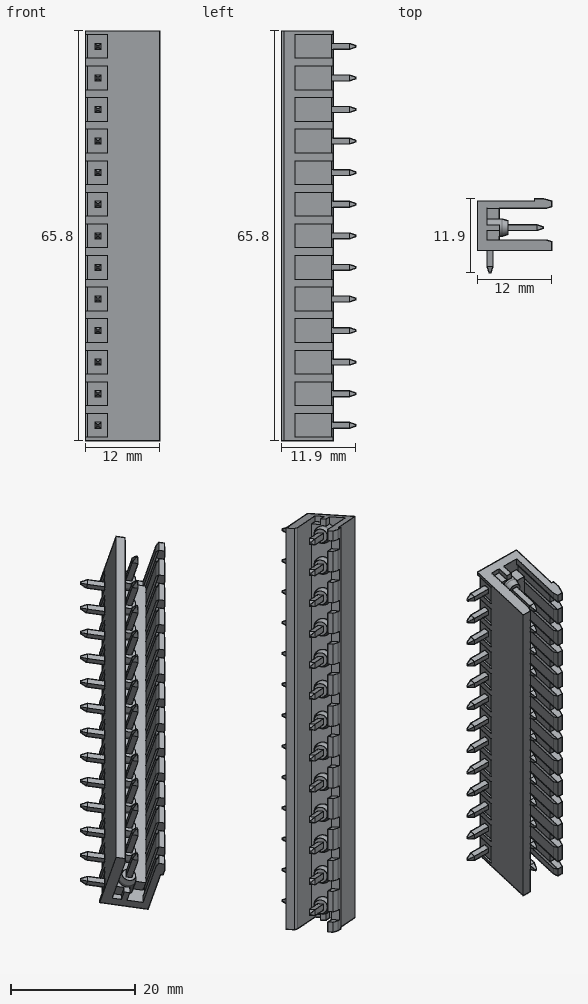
import cadquery as cq
import math

LENGTH = 65.85
DEPTH_X = 12.0
BACK_Y = 7.95
WALL_X = 1.6
FRONT_ARM = 1.7
REAR_ARM_INNER_Y = 6.8

LIP_Y = 8.35
LIP_START_X = 9.15
LIP_FLAT_END_X = 10.55
TIP_BACK_Y = 7.95
TIP_CHAMFER_X = 0.85
TIP_CHAMFER_Y = 0.25

PIN_COUNT = 13
PITCH = 5.1
FIRST_PIN_Z = (LENGTH - (PIN_COUNT - 1) * PITCH) / 2
PIN_Z = [FIRST_PIN_Z + i * PITCH for i in range(PIN_COUNT)]

PIN_SIZE = 1.0
PIN_TIP_SIZE = 0.25
PIN_TAPER = 1.05
PIN_Y = 3.7
TAIL_X = 2.05
TAIL_END_Y = -3.6
CONTACT_END_X = 10.6

COLLAR_DIAMETER = 2.8
COLLAR_END_DIAMETER = 2.25
COLLAR_STEP_X = 3.95
COLLAR_END_X = 4.95

STEP_X = 3.55
RIB_Y_MIN = 3.2
RIB_Y_MAX = 4.15
FRONT_RECESS_DEPTH = 0.9
REAR_RECESS_DEPTH = FIRST_PIN_Z

POCKET_HEIGHT = 3.8
POCKET_X = 3.55
POCKET_Y = 6.1
POCKET_DEPTH_X = 0.3
POCKET_DEPTH_Y = 0.3

GROOVE_MOUTH_HEIGHT = 2.4
GROOVE_FLOOR_HEIGHT = 1.7
GROOVE_DEPTH = 0.25
NOTCH_START_X = 9.95


def box(x0, x1, y0, y1, z0, z1):
    """Axis-aligned block between two opposite corners."""
    return cq.Workplane("XY").box(x1 - x0, y1 - y0, z1 - z0, centered=False).translate((x0, y0, z0))


def make_housing():
    """Channel profile with the stepped back wall inside it."""
    channel = (
        cq.Workplane("XY")
        .moveTo(0, 0)
        .lineTo(DEPTH_X, 0)
        .lineTo(DEPTH_X, FRONT_ARM - TIP_CHAMFER_Y)
        .lineTo(DEPTH_X - TIP_CHAMFER_X, FRONT_ARM)
        .lineTo(WALL_X, FRONT_ARM)
        .lineTo(WALL_X, REAR_ARM_INNER_Y)
        .lineTo(DEPTH_X - TIP_CHAMFER_X, REAR_ARM_INNER_Y)
        .lineTo(DEPTH_X, REAR_ARM_INNER_Y + TIP_CHAMFER_Y)
        .lineTo(DEPTH_X, TIP_BACK_Y)
        .lineTo(LIP_FLAT_END_X, LIP_Y)
        .lineTo(LIP_START_X, LIP_Y)
        .lineTo(LIP_START_X, BACK_Y)
        .lineTo(0, BACK_Y)
        .close()
        .extrude(LENGTH)
    )
    front_step = box(WALL_X, STEP_X, FRONT_ARM, RIB_Y_MIN, FRONT_RECESS_DEPTH, LENGTH - FRONT_RECESS_DEPTH)
    rib = box(WALL_X, STEP_X, RIB_Y_MIN, RIB_Y_MAX, 0, LENGTH)
    rear_step = box(WALL_X, STEP_X, RIB_Y_MAX, REAR_ARM_INNER_Y, REAR_RECESS_DEPTH, LENGTH - REAR_RECESS_DEPTH)
    return channel.union(front_step).union(rib).union(rear_step)


def corner_pocket(z):
    """L-shaped relief across the outer corner of the back wall and front arm."""
    z0 = z - POCKET_HEIGHT / 2
    z1 = z + POCKET_HEIGHT / 2
    back_relief = box(0, POCKET_DEPTH_X, 0, POCKET_Y, z0, z1)
    front_relief = box(0, POCKET_X, 0, POCKET_DEPTH_Y, z0, z1)
    return back_relief.union(front_relief)


def arm_groove(z):
    """Trapezoidal groove along X plus the notch that continues it through the lip."""
    half_mouth = GROOVE_MOUTH_HEIGHT / 2
    half_floor = GROOVE_FLOOR_HEIGHT / 2
    floor_y = REAR_ARM_INNER_Y + GROOVE_DEPTH
    groove = (
        cq.Workplane("YZ", origin=(WALL_X, 0, z))
        .polyline([
            (REAR_ARM_INNER_Y, -half_mouth),
            (floor_y, -half_floor),
            (floor_y, half_floor),
            (REAR_ARM_INNER_Y, half_mouth),
        ])
        .close()
        .extrude(DEPTH_X - WALL_X)
    )
    notch = box(NOTCH_START_X, DEPTH_X, REAR_ARM_INNER_Y, LIP_Y, z - half_floor, z + half_floor)
    return groove.union(notch)


def tapered_pin(length):
    """Square pin from the origin along +Z with a tapered tip."""
    taper_angle = math.degrees(math.atan((PIN_SIZE - PIN_TIP_SIZE) / 2 / PIN_TAPER))
    shaft = cq.Workplane("XY").rect(PIN_SIZE, PIN_SIZE).extrude(length - PIN_TAPER)
    tip = (
        cq.Workplane("XY", origin=(0, 0, length - PIN_TAPER))
        .rect(PIN_SIZE, PIN_SIZE)
        .extrude(PIN_TAPER, taper=taper_angle)
    )
    return shaft.union(tip)


def contact(z):
    """Contact leg along +X, tail leg along -Y and the collar behind the contact leg."""
    leg = tapered_pin(CONTACT_END_X - WALL_X).rotate((0, 0, 0), (0, 1, 0), 90).translate((WALL_X, PIN_Y, z))
    tail_root_y = FRONT_ARM / 2
    tail = tapered_pin(tail_root_y - TAIL_END_Y).rotate((0, 0, 0), (1, 0, 0), 90)
    tail = tail.translate((TAIL_X, tail_root_y, z))
    collar = (
        cq.Workplane("XY")
        .polyline([
            (WALL_X, 0),
            (WALL_X, COLLAR_DIAMETER / 2),
            (COLLAR_STEP_X, COLLAR_DIAMETER / 2),
            (COLLAR_END_X, COLLAR_END_DIAMETER / 2),
            (COLLAR_END_X, 0),
        ])
        .close()
        .revolve(360, (0, 0, 0), (1, 0, 0))
        .translate((0, PIN_Y, z))
    )
    return leg.union(tail).union(collar)


result = make_housing()
for pin_z in PIN_Z:
    result = result.cut(corner_pocket(pin_z)).cut(arm_groove(pin_z))
    result = result.union(contact(pin_z))